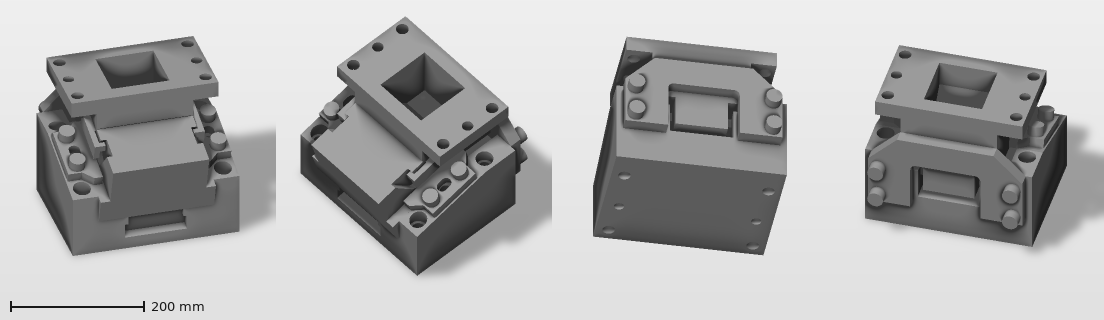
import cadquery as cq
import math


SLIDE_ANGLE = math.radians(15)
COS = math.cos(SLIDE_ANGLE)
SIN = math.sin(SLIDE_ANGLE)

BASE_LENGTH = 199.5
BASE_WIDTH = 260.0
BASE_HEIGHT = 135.0
INCLINE_START = 61.0

MOUNT_X = (44.5, 179.2)
MOUNT_Y = 110.0
MOUNT_DIAMETER = 18.8
MOUNT_SEAT_DIAMETER = 27.0
MOUNT_SEAT_DEPTH = 21.2

SLIDEWAY_WIDTH = 180.0
SLIDEWAY_DEPTH = 40.0
KEEL_NECK_WIDTH = 85.8
KEEL_FOOT_WIDTH = 96.4
KEEL_FOOT_TOP = 54.5
KEEL_DEPTH = 76.2
KEEL_FLOOR_HEIGHT = 60.0
KEEL_MOUTH_LENGTH = 15.0

PLATE_THICKNESS = 19.9
PLATE_BOTTOM = 55.0
PLATE_WIDTH = 239.8
PLATE_RECESS = 1.0
WINDOW_WIDTH = 109.0
WINDOW_RADIUS = 9.0
HEAD_DIAMETER = 24.4
SCREW_HEAD_HEIGHT = 16.7
SCREW_Y = 104.8
SCREW_Z = (70.2, 120.2)

RETAINER_START = -0.8
RETAINER_LENGTH = 120.0
RETAINER_THICKNESS = 15.0
RETAINER_INNER_Y = 77.3
RETAINER_OUTER_Y = 127.3
RETAINER_END_Y = 90.5
RETAINER_CORNER = 15.0
BOLT_SPACING = 60.0
BOLT_Y = 110.0
BOLT_HEAD_HEIGHT = 16.0
SLOT_Y = 104.8
SLOT_WIDTH = 17.0
SLOT_LENGTH = 24.4
SLOT_BORE_DIAMETER = 15.4

TOTAL_HEIGHT = 230.0
DRIVER_LENGTH = 139.2
FLANGE_WIDTH = 229.5
FLANGE_THICKNESS = 25.0
BODY_WIDTH = 150.0
BODY_BOTTOM = 125.0
TONGUE_WIDTH = 80.0
TONGUE_BOTTOM = 75.0
CAM_TOP = 178.7

POCKET_START = 24.5
POCKET_END = 114.4
POCKET_WIDTH = 90.5

FLANGE_HOLE_X = 19.9
FLANGE_HOLE_SPACING = 49.8
FLANGE_HOLE_Y = 100.0
FLANGE_HOLE_DIAMETERS = (19.0, 17.2, 19.0)

HOOK_START = 18.0
HOOK_END = 93.7
HOOK_BOTTOM = 30.5
HOOK_TOP = 54.8
HOOK_OUTER_Y = 86.0
HOOK_TAB_Y = 69.0
TAB_TOP_X = 157.8
TAB_DROP = 8.7

SLIDER_RIGHT = 228.2
SLIDER_HEIGHT = 60.0
SLIDER_START = 5.3
KEEL_END = 150.0
KEEL_FOOT_SETBACK = 1.0
GROOVE_WIDTH = 30.5
GROOVE_FLOOR_Y = 66.0
GROOVE_END_X = 149.8
GROOVE_END_Z = 139.0

SLIDER_END = (SLIDER_RIGHT - INCLINE_START - SLIDER_HEIGHT * SIN) / COS
PLATE_TOP = BASE_HEIGHT + (PLATE_WIDTH - BODY_WIDTH) / 2
FLANGE_BOTTOM = TOTAL_HEIGHT - FLANGE_THICKNESS
CAM_OFFSET = DRIVER_LENGTH - CAM_TOP
PAST_END = 2 * BASE_LENGTH


def on_slide(along, above):
    """XZ point given along the slide and above the incline."""
    x = INCLINE_START + along * COS + above * SIN
    z = BASE_HEIGHT - along * SIN + above * COS
    return (x, z)


def slide_height(x, above):
    """Z of the plane lying a given distance above the incline."""
    return BASE_HEIGHT + (above - (x - INCLINE_START) * SIN) / COS


def slide_x(z, above):
    """X where the plane lying a given distance above the incline has height z."""
    return INCLINE_START + (above - (z - BASE_HEIGHT) * COS) / SIN


def cam_along(above):
    """Place along the slide where the cam face passes, at a height above the incline."""
    return (CAM_OFFSET - INCLINE_START + BASE_HEIGHT + above * (COS - SIN)) / (COS + SIN)


def prism(points, y_from, y_to):
    """XZ outline extruded between two Y values."""
    plane = cq.Workplane("XZ", origin=(0, y_to, 0))
    return plane.polyline(points).close().extrude(y_to - y_from)


def centred_prism(points, width):
    return prism(points, -width / 2, width / 2)


def block(x_from, x_to, width, z_from, z_to):
    size = (x_to - x_from, width, z_to - z_from)
    centre = ((x_from + x_to) / 2, 0, (z_from + z_to) / 2)
    return cq.Workplane("XY").box(*size).translate(centre)


def both_sides(feature):
    """Feature together with its mirror image across the plane of symmetry."""
    return feature.union(feature.mirror("XZ"))


def slide_plane(above):
    """Work plane parallel to the incline: x along the slide, y along Y."""
    x, z = on_slide(0, above)
    return cq.Plane(origin=(x, 0, z), xDir=(COS, 0, -SIN), normal=(SIN, 0, COS))


def base_block():
    outline = [
        (0, 0),
        (BASE_LENGTH, 0),
        (BASE_LENGTH, slide_height(BASE_LENGTH, 0)),
        (INCLINE_START, BASE_HEIGHT),
        (0, BASE_HEIGHT),
    ]
    return centred_prism(outline, BASE_WIDTH)


def slideway():
    channel = [
        (0, slide_height(0, -SLIDEWAY_DEPTH)),
        on_slide(PAST_END, -SLIDEWAY_DEPTH),
        on_slide(PAST_END, SLIDER_HEIGHT),
        (0, TOTAL_HEIGHT),
    ]
    return centred_prism(channel, SLIDEWAY_WIDTH)


def keel_groove():
    floor = [
        (0, KEEL_FLOOR_HEIGHT),
        (slide_x(KEEL_FLOOR_HEIGHT, -KEEL_DEPTH), KEEL_FLOOR_HEIGHT),
        on_slide(PAST_END, -KEEL_DEPTH),
    ]
    neck = floor + [on_slide(PAST_END, -SLIDEWAY_DEPTH), (0, slide_height(0, -SLIDEWAY_DEPTH))]
    foot = floor + [
        on_slide(PAST_END, -KEEL_FOOT_TOP),
        (KEEL_MOUTH_LENGTH, slide_height(KEEL_MOUTH_LENGTH, -KEEL_FOOT_TOP)),
        (KEEL_MOUTH_LENGTH, slide_height(KEEL_MOUTH_LENGTH, -SLIDEWAY_DEPTH)),
        (0, slide_height(0, -SLIDEWAY_DEPTH)),
    ]
    return centred_prism(neck, KEEL_NECK_WIDTH).union(centred_prism(foot, KEEL_FOOT_WIDTH))


def vertical_hole(x, y, diameter, bottom=0.0):
    plane = cq.Workplane("XY", origin=(x, y, bottom))
    return plane.circle(diameter / 2).extrude(TOTAL_HEIGHT - bottom)


def mounting_hole(x, y):
    top = min(BASE_HEIGHT, slide_height(x, 0))
    hole = vertical_hole(x, y, MOUNT_DIAMETER)
    return hole.union(vertical_hole(x, y, MOUNT_SEAT_DIAMETER, top - MOUNT_SEAT_DEPTH))


def front_plate():
    half_bottom = PLATE_WIDTH / 2
    half_top = BODY_WIDTH / 2
    outline = [
        (-half_bottom, PLATE_BOTTOM),
        (half_bottom, PLATE_BOTTOM),
        (half_bottom, BASE_HEIGHT),
        (half_top, PLATE_TOP),
        (-half_top, PLATE_TOP),
        (-half_bottom, BASE_HEIGHT),
    ]
    plane = cq.Workplane("YZ", origin=(-PLATE_THICKNESS, 0, 0))
    plate = plane.polyline(outline).close().extrude(PLATE_THICKNESS)
    window = block(-PLATE_THICKNESS, 0, WINDOW_WIDTH, 0, BASE_HEIGHT)
    window = window.edges("|X and >Z").fillet(WINDOW_RADIUS)
    recess_bottom = slide_height(0, -SLIDEWAY_DEPTH)
    recess = block(-PLATE_RECESS, 0, 2 * RETAINER_INNER_Y, recess_bottom, PLATE_TOP)
    return plate.cut(window).cut(recess)


def plate_screw_heads():
    plane = cq.Workplane("YZ", origin=(-PLATE_THICKNESS, 0, 0))
    centres = [(side * SCREW_Y, z) for side in (-1, 1) for z in SCREW_Z]
    return plane.pushPoints(centres).circle(HEAD_DIAMETER / 2).extrude(-SCREW_HEAD_HEIGHT)


def retainer():
    """Slotted retainer on the +Y side with its two bolt heads."""
    start = RETAINER_START
    end = start + RETAINER_LENGTH
    middle = (start + end) / 2
    corner_y = RETAINER_END_Y + RETAINER_CORNER
    outline = [
        (start, RETAINER_INNER_Y),
        (end, RETAINER_INNER_Y),
        (end, RETAINER_END_Y),
        (end - RETAINER_CORNER, corner_y),
        (end - RETAINER_CORNER, RETAINER_OUTER_Y),
        (start + RETAINER_CORNER, RETAINER_OUTER_Y),
        (start + RETAINER_CORNER, corner_y),
        (start, RETAINER_END_Y),
    ]
    underside = cq.Workplane(slide_plane(0))
    top = cq.Workplane(slide_plane(RETAINER_THICKNESS))
    plate = underside.polyline(outline).close().extrude(RETAINER_THICKNESS)
    slot = underside.center(middle, SLOT_Y).slot2D(SLOT_LENGTH, SLOT_WIDTH).extrude(RETAINER_THICKNESS)
    bolts = [(middle - BOLT_SPACING / 2, BOLT_Y), (middle + BOLT_SPACING / 2, BOLT_Y)]
    heads = top.pushPoints(bolts).circle(HEAD_DIAMETER / 2).extrude(BOLT_HEAD_HEIGHT)
    return plate.cut(slot).union(heads)


def make_base():
    body = base_block().cut(slideway()).cut(keel_groove())
    slot_x, _ = on_slide(RETAINER_START + RETAINER_LENGTH / 2, RETAINER_THICKNESS / 2)
    for side in (-1, 1):
        for x in MOUNT_X:
            body = body.cut(mounting_hole(x, side * MOUNT_Y))
        body = body.cut(vertical_hole(slot_x, side * SLOT_Y, SLOT_BORE_DIAMETER))
    body = body.union(front_plate()).union(plate_screw_heads())
    return body.union(both_sides(retainer()))


def driver_body():
    flange = block(0, DRIVER_LENGTH, FLANGE_WIDTH, FLANGE_BOTTOM, TOTAL_HEIGHT)
    body = [
        (0, BODY_BOTTOM),
        (BODY_BOTTOM + CAM_OFFSET, BODY_BOTTOM),
        (DRIVER_LENGTH, CAM_TOP),
        (DRIVER_LENGTH, FLANGE_BOTTOM),
        (0, FLANGE_BOTTOM),
    ]
    tongue = [
        (0, TONGUE_BOTTOM),
        (TONGUE_BOTTOM + CAM_OFFSET, TONGUE_BOTTOM),
        (BODY_BOTTOM + CAM_OFFSET, BODY_BOTTOM),
        (0, BODY_BOTTOM),
    ]
    return flange.union(centred_prism(body, BODY_WIDTH)).union(centred_prism(tongue, TONGUE_WIDTH))


def driver_pocket():
    """Pocket with a floor level with the base top, turning parallel to the cam face above the incline."""
    outline = [
        (POCKET_START, BASE_HEIGHT),
        (INCLINE_START, BASE_HEIGHT),
        (POCKET_END, BASE_HEIGHT + POCKET_END - INCLINE_START),
        (POCKET_END, TOTAL_HEIGHT),
        (POCKET_START, TOTAL_HEIGHT),
    ]
    return centred_prism(outline, POCKET_WIDTH)


def hook():
    """Return hook on the +Y side: a strap on the driver with a tab reaching into the slider groove."""
    strap = [
        on_slide(HOOK_START, HOOK_BOTTOM),
        on_slide(HOOK_END, HOOK_BOTTOM),
        on_slide(HOOK_END, HOOK_TOP),
        on_slide(HOOK_START, HOOK_TOP),
    ]
    root = [
        on_slide(HOOK_START, HOOK_BOTTOM),
        on_slide(cam_along(HOOK_BOTTOM), HOOK_BOTTOM),
        on_slide(cam_along(HOOK_TOP), HOOK_TOP),
        on_slide(HOOK_START, HOOK_TOP),
    ]
    tab_top = (TAB_TOP_X, slide_height(TAB_TOP_X, HOOK_TOP))
    tab_low = (tab_top[0] - TAB_DROP, tab_top[1] - TAB_DROP)
    tab_bottom = HOOK_TOP - TAB_DROP * (COS + SIN)
    tab = [
        tab_low,
        on_slide(HOOK_END, tab_bottom),
        on_slide(HOOK_END, HOOK_TOP),
        tab_top,
    ]
    solid = prism(strap, RETAINER_INNER_Y, HOOK_OUTER_Y)
    solid = solid.union(prism(root, BODY_WIDTH / 2, RETAINER_INNER_Y))
    return solid.union(prism(tab, HOOK_TAB_Y, RETAINER_INNER_Y))


def make_driver():
    driver = driver_body().cut(driver_pocket())
    for index, diameter in enumerate(FLANGE_HOLE_DIAMETERS):
        x = FLANGE_HOLE_X + index * FLANGE_HOLE_SPACING
        for side in (-1, 1):
            driver = driver.cut(vertical_hole(x, side * FLANGE_HOLE_Y, diameter, FLANGE_BOTTOM))
    return driver.union(both_sides(hook()))


def slider_layer(bottom, top, width):
    """Layer in front of the cam face, between two heights above the incline."""
    outline = [
        on_slide(cam_along(bottom), bottom),
        on_slide(SLIDER_END, bottom),
        on_slide(SLIDER_END, top),
        on_slide(cam_along(top), top),
    ]
    return centred_prism(outline, width)


def keel_layer(start, bottom, top, width):
    outline = [
        on_slide(start, bottom),
        on_slide(KEEL_END, bottom),
        on_slide(KEEL_END, top),
        on_slide(start, top),
    ]
    return centred_prism(outline, width)


def side_groove():
    """Groove on the +Y side, parallel to the cam face, with a rounded lower end."""
    length = TOTAL_HEIGHT
    plane = cq.Plane(
        origin=(GROOVE_END_X, BODY_WIDTH / 2, GROOVE_END_Z),
        xDir=(1, 0, 1),
        normal=(0, -1, 0),
    )
    depth = BODY_WIDTH / 2 - GROOVE_FLOOR_Y
    run = cq.Workplane(plane).center(length / 2, 0).rect(length, GROOVE_WIDTH).extrude(depth)
    return run.union(cq.Workplane(plane).circle(GROOVE_WIDTH / 2).extrude(depth))


def make_slider():
    slider = slider_layer(0, SLIDER_HEIGHT, BODY_WIDTH)
    slider = slider.union(slider_layer(-SLIDEWAY_DEPTH, 0, SLIDEWAY_WIDTH))
    neck = keel_layer(SLIDER_START, -KEEL_DEPTH, -SLIDEWAY_DEPTH, KEEL_NECK_WIDTH)
    foot_start = SLIDER_START + KEEL_FOOT_SETBACK
    foot = keel_layer(foot_start, -KEEL_DEPTH, -KEEL_FOOT_TOP, KEEL_FOOT_WIDTH)
    slider = slider.union(neck).union(foot)
    return slider.cut(both_sides(side_groove()))


base = make_base()
driver = make_driver()
slider = make_slider()

result = cq.Compound.makeCompound([base.val(), driver.val(), slider.val()])